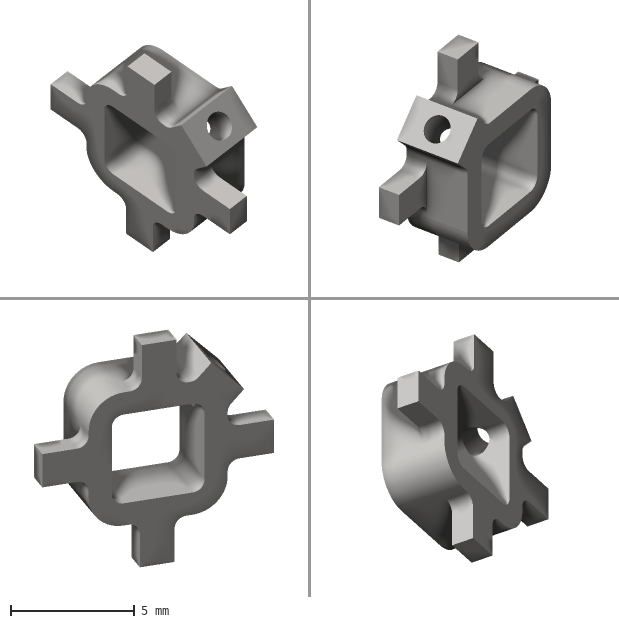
import cadquery as cq
import math

body_side = 6
body_depth = 3
body_corner_radius = 1.5
window_side = 4
window_corner_radius = 0.5

span = 10
arm_width = 1.5
arm_depth = 1
arm_offset = 0.042
fillet_radius = 0.5

boss_width = 2
boss_reach = 4.24
boss_angle = 45
bore_diameter = 1.19

half_body = body_side / 2


def plate(width, height, depth):
    """Rectangular plate centred on the Y axis, from Y = 0 to Y = depth."""
    return cq.Workplane("XY").box(width, depth, height).translate((0, depth / 2, 0))


def turn(shape, angle):
    """Rotate a shape about Y, from +X toward +Z."""
    return shape.rotate((0, 0, 0), (0, 1, 0), -angle)


def make_arm():
    """Arm along +X with concave fillets where it meets the body wall."""
    lower = -arm_offset - arm_width / 2
    upper = lower + arm_width
    tip = span / 2
    fillet_end = half_body + fillet_radius
    bend = fillet_radius * (1 - math.sqrt(0.5))
    return (
        cq.Workplane("XZ")
        .moveTo(0, lower - fillet_radius)
        .lineTo(half_body, lower - fillet_radius)
        .threePointArc((half_body + bend, lower - bend), (fillet_end, lower))
        .lineTo(tip, lower)
        .lineTo(tip, upper)
        .lineTo(fillet_end, upper)
        .threePointArc((half_body + bend, upper + bend), (half_body, upper + fillet_radius))
        .lineTo(0, upper + fillet_radius)
        .close()
        .extrude(-arm_depth)
    )


def make_boss_fillet():
    """Concave web between the body top and the upper side of the boss."""
    side_rise = boss_width / 2 * math.sqrt(2)
    center_z = half_body + fillet_radius
    center_x = center_z - side_rise - fillet_radius * math.sqrt(2)
    inner_corner = half_body - body_corner_radius / 2
    tangent_shift = fillet_radius * math.sqrt(0.5)
    mid_angle = math.radians((-90 - boss_angle) / 2)
    arc_middle = (
        center_x + fillet_radius * math.cos(mid_angle),
        center_z + fillet_radius * math.sin(mid_angle),
    )
    return (
        cq.Workplane("XZ")
        .moveTo(center_x, half_body)
        .threePointArc(arc_middle, (center_x + tangent_shift, center_z - tangent_shift))
        .lineTo(inner_corner, inner_corner)
        .lineTo(center_x, inner_corner)
        .close()
        .extrude(-body_depth)
    )


body = plate(body_side, body_side, body_depth).edges("|Y").fillet(body_corner_radius)

boss = turn(plate(boss_reach, boss_width, body_depth).translate((boss_reach / 2, 0, 0)), boss_angle)
upper_fillet = make_boss_fillet()
lower_fillet = turn(upper_fillet.mirror("XY"), 90)
body = body.union(boss).union(upper_fillet).union(lower_fillet)

for quarter in range(4):
    body = body.union(turn(make_arm(), 90 * quarter))

window = plate(window_side, window_side, body_depth).edges("|Y").fillet(window_corner_radius)
bore = turn(
    cq.Workplane("YZ").center(body_depth / 2, 0).circle(bore_diameter / 2).extrude(boss_reach),
    boss_angle,
)

result = body.cut(window).cut(bore)